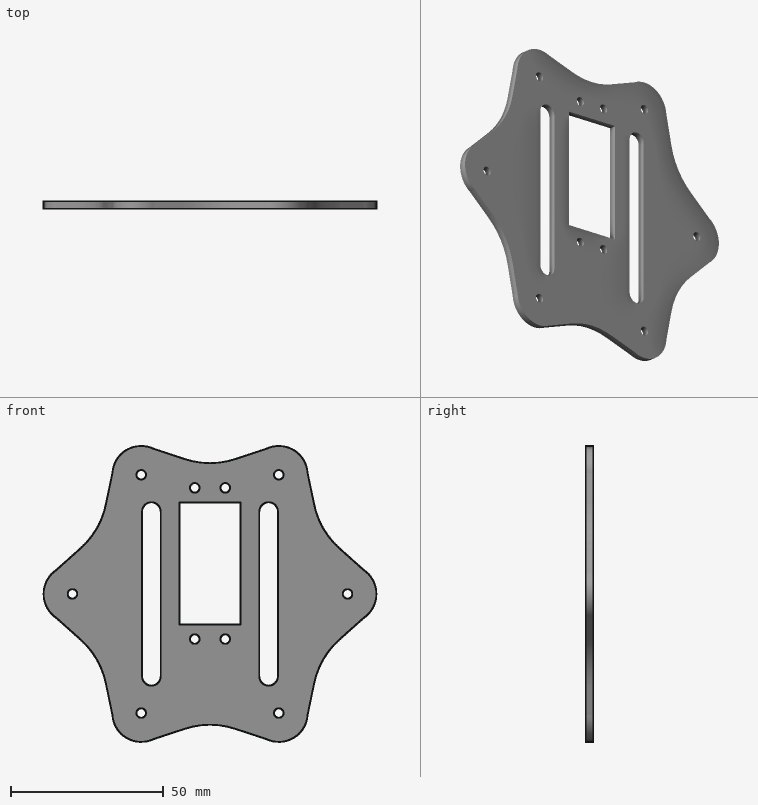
import cadquery as cq
import math

lobe_count = 6
overall_width = 109.0
thickness = 2.5
tip_radius = 9.5
tip_center_distance = overall_width / 2 - tip_radius

valley_distance = 42.8
valley_half_width = 8.5
valley_rise = 1.4
flank_end_offset = 18.3

hole_diameter = 3.0
slot_width = 6.0
slot_length = 60.0
slot_offset = 19.2
window_width = 20.0
window_height = 2 * window_width
window_center_z = window_width / 2
window_hole_spacing_x = window_width / 2
window_hole_spacing_z = 49.5


def rotated(point, angle):
    """Rotate a profile point about the plate centre, angle in degrees."""
    x, z = point
    c = math.cos(math.radians(angle))
    s = math.sin(math.radians(angle))
    return (x * c - z * s, x * s + z * c)


def build_plate():
    """Join six identical sides, each a lobe tip, a flank, a valley and a flank."""
    pitch = 360 / lobe_count
    tip_center_x = tip_center_distance * math.sin(math.radians(pitch / 2))
    tip_center_z = tip_center_distance * math.cos(math.radians(pitch / 2))
    flank_end_z = tip_center_z + math.sqrt(tip_radius**2 - (tip_center_x - flank_end_offset) ** 2)
    valley_end_z = valley_distance + valley_rise

    flank_start = (flank_end_offset, flank_end_z)
    valley_start = (valley_half_width, valley_end_z)
    valley_middle = (0, valley_distance)
    valley_end = (-valley_half_width, valley_end_z)
    flank_end = (-flank_end_offset, flank_end_z)
    tip = rotated((0, overall_width / 2), pitch / 2)

    profile = cq.Workplane("XZ").moveTo(*flank_start)
    for side in range(lobe_count):
        angle = side * pitch
        profile = (
            profile.lineTo(*rotated(valley_start, angle))
            .threePointArc(rotated(valley_middle, angle), rotated(valley_end, angle))
            .lineTo(*rotated(flank_end, angle))
            .threePointArc(rotated(tip, angle), rotated(flank_start, angle + pitch))
        )
    return profile.close().extrude(thickness / 2, both=True)


def cut_lobe_holes(plate):
    """One hole concentric with each lobe tip."""
    holes = (
        cq.Workplane("XZ")
        .polarArray(tip_center_distance, 0, 360, lobe_count)
        .circle(hole_diameter / 2)
        .extrude(thickness, both=True)
    )
    return plate.cut(holes)


def cut_slots(plate):
    """Two long upright slots beside the window."""
    slots = (
        cq.Workplane("XZ")
        .pushPoints([(-slot_offset, 0), (slot_offset, 0)])
        .slot2D(slot_length, slot_width, 90)
        .extrude(thickness, both=True)
    )
    return plate.cut(slots)


def cut_window(plate):
    """Rectangular window with a pair of holes above and below it."""
    center = cq.Workplane("XZ").center(0, window_center_z)
    window = center.rect(window_width, window_height).extrude(thickness, both=True)
    holes = (
        cq.Workplane("XZ")
        .center(0, window_center_z)
        .rarray(window_hole_spacing_x, window_hole_spacing_z, 2, 2)
        .circle(hole_diameter / 2)
        .extrude(thickness, both=True)
    )
    return plate.cut(window).cut(holes)


result = cut_window(cut_slots(cut_lobe_holes(build_plate())))